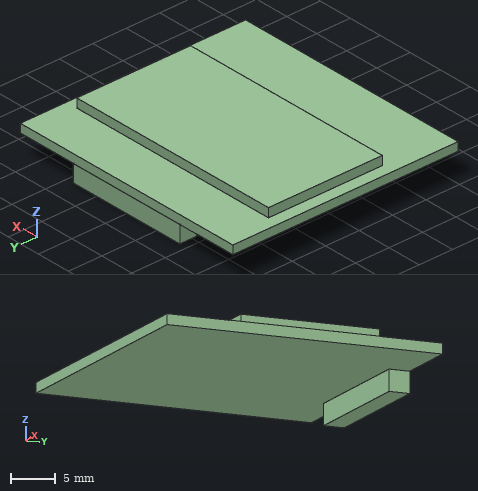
import cadquery as cq

board_width = 35.5
board_depth = 33.7
board_thickness = 1.28

display_width = 32.0
display_depth = 17.0
display_thickness = 1.3
display_back_margin = 6.9

header_length = 17.8
header_section = 2.55

board_back = board_depth / 2


def block_on_plane(width, depth, height, center_y, base_z):
    """Rectangular block centred in X, rising from base_z."""
    return (
        cq.Workplane("XY", origin=(0, center_y, base_z))
        .box(width, depth, height, centered=(True, True, False))
    )


def make_board():
    return block_on_plane(board_width, board_depth, board_thickness, 0, -board_thickness)


def make_display():
    center_y = board_back - display_back_margin - display_depth / 2
    return block_on_plane(display_width, display_depth, display_thickness, center_y, 0)


def make_header():
    center_y = board_back - header_section / 2
    base_z = -board_thickness - header_section
    return block_on_plane(header_length, header_section, header_section, center_y, base_z)


board = make_board()
display = make_display()
header = make_header()

result = cq.Compound.makeCompound([board.val(), display.val(), header.val()])